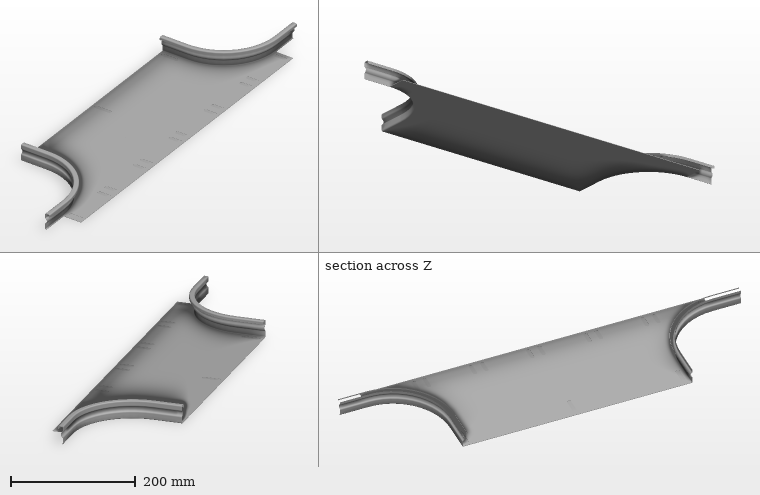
import cadquery as cq
import math

width = 185.0
length = 701.0
height = 31.0
sheet = 0.8

rail_x = 149.0
straight = 50.0
bend_radius = rail_x - straight
floor_half = length / 2 - straight
rail_y = floor_half - bend_radius

flange = 9.0
lip = 5.5
corner = 2.0
inner_corner = corner - sheet
groove_bottom = 10.5
groove_top = 23.0
groove_depth = 3.5
groove_blend = 2.0

slot_depth = 0.35
slot_width = 7.0
edge_slot_length = 24.0
edge_slot_x = 168.0
pair_pitch = 100.0
pair_half_gap = 10.0
branch_slot_length = 32.0
branch_slot_x = 21.0
branch_slot_spacing = 190.0


def rail_line(start, inset):
    """Continue an outline along the +Y rail line, moved inwards by inset."""
    radius = bend_radius + inset
    diagonal = radius * math.sqrt(0.5)
    start_y = floor_half - radius
    return (
        start.moveTo(0, start_y)
        .lineTo(straight, start_y)
        .threePointArc(
            (straight + diagonal, floor_half - diagonal),
            (straight + radius, floor_half),
        )
    )


def floor_plate():
    """Floor up to the inner end of the rail's bottom fold, mirrored about Y = 0."""
    half = (
        rail_line(cq.Workplane("XY"), corner)
        .lineTo(width, floor_half)
        .lineTo(width, 0)
        .lineTo(0, 0)
        .close()
        .extrude(sheet)
    )
    return half.union(half.mirror("XZ"))


def rail_section():
    """Folded strip: bottom fold, grooved wall, flange and lip, at the branch end."""
    half_groove = (groove_top - groove_bottom) / 2
    turn = 2 * math.atan(groove_depth / half_groove)
    blend_radius = groove_blend / math.sin(turn)
    blend_depth = blend_radius * (1 - math.cos(turn))

    outer = rail_y
    inner = rail_y - sheet
    lip_outer = rail_y - flange
    lip_inner = lip_outer + sheet
    blend_y = outer - blend_depth
    low_blend = groove_bottom + groove_blend
    high_blend = groove_top - groove_blend
    skin_y = sheet * math.cos(turn)
    skin_z = sheet * math.sin(turn)

    return (
        cq.Workplane("YZ")
        .moveTo(inner - inner_corner, sheet)
        .lineTo(outer - corner, 0)
        .radiusArc((outer, corner), -corner)
        .lineTo(outer, groove_bottom)
        .tangentArcPoint((blend_y, low_blend), relative=False)
        .tangentArcPoint((blend_y, high_blend), relative=False)
        .tangentArcPoint((outer, groove_top), relative=False)
        .lineTo(outer, height - corner)
        .tangentArcPoint((outer - corner, height), relative=False)
        .lineTo(lip_outer + corner, height)
        .tangentArcPoint((lip_outer, height - corner), relative=False)
        .lineTo(lip_outer, height - lip)
        .lineTo(lip_inner, height - lip)
        .lineTo(lip_inner, height - corner)
        .tangentArcPoint((lip_outer + corner, height - sheet), relative=False)
        .lineTo(outer - corner, height - sheet)
        .tangentArcPoint((inner, height - corner), relative=False)
        .lineTo(inner, groove_top)
        .tangentArcPoint((blend_y - skin_y, high_blend + skin_z), relative=False)
        .tangentArcPoint((blend_y - skin_y, low_blend - skin_z), relative=False)
        .tangentArcPoint((inner, groove_bottom), relative=False)
        .lineTo(inner, corner)
        .tangentArcPoint((inner - inner_corner, sheet), relative=False)
        .close()
    )


def side_rail():
    path = rail_line(cq.Workplane("XY"), 0).lineTo(rail_x, length / 2)
    return rail_section().sweep(path)


def slot_cutters(points, slot_length):
    return (
        cq.Workplane("XY")
        .workplane(offset=sheet - slot_depth)
        .pushPoints(points)
        .slot2D(slot_length, slot_width)
        .extrude(slot_depth)
    )


edge_slot_places = [
    station * pair_pitch + side * pair_half_gap
    for station in range(-3, 4)
    for side in (-1, 1)
]
edge_points = [(edge_slot_x, y) for y in edge_slot_places if abs(y) < floor_half]
branch_points = [(branch_slot_x, row * branch_slot_spacing) for row in (-1, 0, 1)]

rail = side_rail()
result = (
    floor_plate()
    .union(rail)
    .union(rail.mirror("XZ"))
    .cut(slot_cutters(edge_points, edge_slot_length))
    .cut(slot_cutters(branch_points, branch_slot_length))
)